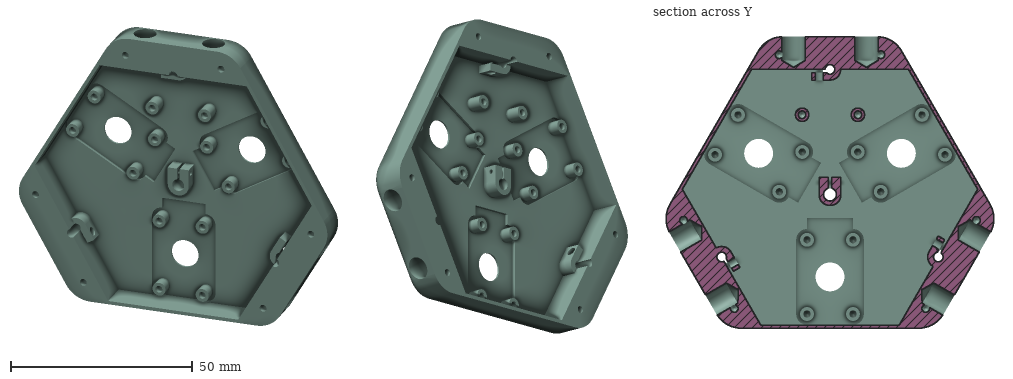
import cadquery as cq
import math

TRAY_DEPTH = 10.0
LONG_SIDE_DISTANCE = 36.9
SHORT_SIDE_DISTANCE = 43.6
CORNER_RADIUS = 8.0
BACK_FILLET = 1.7
CAVITY_LONG_DISTANCE = 35.9
CAVITY_SHORT_DISTANCE = 34.4
FLOOR = 1.5

PAD_DEPTH = 1.0
PAD_FLOOR = FLOOR - PAD_DEPTH
PAD_SCREW_X = 6.3
PAD_SCREW_INNER = 12.5
PAD_SCREW_OUTER = 32.9
PAD_CORNER_RADIUS = 3.0
PAD_TONGUE_END = 6.5
MOTOR_HOLE_RADIUS = 4.0

PAD_BOSS_TOP = 4.1
BOARD_BOSS_TOP = 6.0
BOSS_RADIUS = 1.9
BOARD_BOSS_X = 7.7
BOARD_BOSS_Z = 22.0
SCREW_RADIUS = 1.0
BOSS_SCREW_DEPTH = 3.0
RIM_SCREW_X = 14.0
RIM_SCREW_DISTANCE = 38.5
RIM_SCREW_DEPTH = 6.0
DRILL_POINT_ANGLE = 118

SOCKET_X = 10.0
SOCKET_RADIUS = 3.2
SOCKET_DEPTH = 6.6

CLAMP_TOP = 6.0
CLAMP_SCREW_HEIGHT = 4.25
HUB_RADIUS = 3.1
HUB_LENGTH = 4.9
HUB_BORE_RADIUS = 1.7
HUB_SLOT = 0.8
HUB_SCREW_RADIUS = 0.6
HUB_SCREW_Z = 3.25

CLIP_RADIUS = 3.0
CLIP_LENGTH = 5.1
CLIP_BORE_RADIUS = 1.3
CLIP_SLOT = 0.8
CLIP_SLOT_THROUGH = 2.0
CLIP_SCREW_X = 3.0
CLIP_SCREW_RADIUS = 1.3
CLIP_PILOT_RADIUS = 0.5
CLIP_PILOT_DEPTH = 3.6


def level(height):
    """Plane parallel to the floor, its height measured from the back face toward -Y."""
    return cq.Workplane("XZ", origin=(0, -height, 0))


def three_fold(shape):
    """Union of a shape with its copies turned by 120 and 240 degrees about the tray axis."""
    turned = shape
    for angle in (120, 240):
        turned = turned.union(shape.rotate((0, 0, 0), (0, 1, 0), angle))
    return turned


def hexagon(long_distance, short_distance):
    """Corners of the hexagon whose short sides face +Z and +Z turned by 120 and 240 degrees."""
    half_short = (long_distance - short_distance / 2) / math.cos(math.radians(30))
    corner_radius = math.hypot(half_short, short_distance)
    half_angle = math.atan2(half_short, short_distance)
    corners = []
    for middle in (90, 210, 330):
        for side in (-1, 1):
            angle = math.radians(middle) + side * half_angle
            corners.append((corner_radius * math.cos(angle), corner_radius * math.sin(angle)))
    return corners


def drill(plane, points, radius, depth):
    """Blind holes going against the plane normal, each ending in a drill point."""
    tip = depth + radius / math.tan(math.radians(DRILL_POINT_ANGLE / 2))
    profile = [(0, 0), (radius, 0), (radius, -depth), (0, -tip)]
    bit = cq.Workplane("XY").polyline(profile).close()
    bit = bit.revolve(360, (0, 0), (0, 1)).rotate((0, 0, 0), (1, 0, 0), 90).val()
    return plane.pushPoints(points).eachpoint(bit, True)


def shell():
    body = level(0).polyline(hexagon(LONG_SIDE_DISTANCE, SHORT_SIDE_DISTANCE)).close()
    body = body.extrude(TRAY_DEPTH).edges("|Y").fillet(CORNER_RADIUS)
    body = body.faces(">Y").edges().fillet(BACK_FILLET)
    cavity = level(FLOOR).polyline(hexagon(CAVITY_LONG_DISTANCE, CAVITY_SHORT_DISTANCE)).close()
    return body.cut(cavity.extrude(TRAY_DEPTH - FLOOR))


def pad_recess():
    half_width = PAD_SCREW_X + PAD_CORNER_RADIUS
    outer = PAD_SCREW_OUTER + PAD_CORNER_RADIUS
    inner = PAD_SCREW_INNER - PAD_CORNER_RADIUS
    base = level(PAD_FLOOR)
    plate = base.center(0, -(inner + outer) / 2).rect(2 * half_width, outer - inner)
    plate = plate.extrude(PAD_DEPTH).edges("|Y").fillet(PAD_CORNER_RADIUS)
    tongue_length = PAD_SCREW_INNER - PAD_TONGUE_END
    tongue = base.center(0, -PAD_TONGUE_END - tongue_length / 2)
    tongue = tongue.rect(2 * PAD_SCREW_X, tongue_length).extrude(PAD_DEPTH)
    return plate.union(tongue)


def motor_hole():
    middle = (PAD_SCREW_INNER + PAD_SCREW_OUTER) / 2
    return level(0).center(0, -middle).circle(MOTOR_HOLE_RADIUS).extrude(FLOOR)


def bosses(points, base, top):
    return level(base).pushPoints(points).circle(BOSS_RADIUS).extrude(top - base)


def clamp_block(radius, length):
    """Upright block with one round end, centred on the bore and reaching toward +Z."""
    outline = level(FLOOR).moveTo(radius, 0).lineTo(radius, length).lineTo(-radius, length)
    outline = outline.lineTo(-radius, 0).threePointArc((0, -radius), (radius, 0)).close()
    return outline.extrude(CLAMP_TOP - FLOOR)


def hub_cuts():
    bore = level(0).circle(HUB_BORE_RADIUS).extrude(CLAMP_TOP)
    slot = level(FLOOR).center(0, HUB_LENGTH / 2).rect(HUB_SLOT, HUB_LENGTH)
    screw = cq.Workplane("YZ").center(-CLAMP_SCREW_HEIGHT, HUB_SCREW_Z).circle(HUB_SCREW_RADIUS)
    return bore.union(slot.extrude(CLAMP_TOP - FLOOR)).union(screw.extrude(HUB_RADIUS, both=True))


def clip_block():
    """Wall clamp reaching toward -X from its bore, which lies on the +Z cavity wall."""
    block = clamp_block(CLIP_RADIUS, CLIP_LENGTH).rotate((0, 0, 0), (0, 1, 0), -90)
    return block.translate((0, 0, CAVITY_SHORT_DISTANCE))


def clip_cuts():
    wall = CAVITY_SHORT_DISTANCE
    bore = level(0).center(0, wall).circle(CLIP_BORE_RADIUS).extrude(TRAY_DEPTH)
    slot_z = wall - CLIP_SLOT / 2
    slot = level(FLOOR).center(-CLIP_LENGTH / 2, slot_z).rect(CLIP_LENGTH, CLIP_SLOT)
    slit = level(0).center(-CLIP_SLOT_THROUGH / 2, slot_z).rect(CLIP_SLOT_THROUGH, CLIP_SLOT)
    screw_plane = cq.Workplane("XY", origin=(-CLIP_SCREW_X, -CLAMP_SCREW_HEIGHT, wall))
    clearance = screw_plane.circle(CLIP_SCREW_RADIUS).extrude(-CLIP_RADIUS)
    pilot = screw_plane.circle(CLIP_PILOT_RADIUS).extrude(CLIP_PILOT_DEPTH)
    cuts = bore.union(slot.extrude(CLAMP_TOP - FLOOR)).union(slit.extrude(FLOOR))
    return cuts.union(clearance).union(pilot)


pad_screws = [(x, -z) for x in (-PAD_SCREW_X, PAD_SCREW_X) for z in (PAD_SCREW_INNER, PAD_SCREW_OUTER)]
board_screws = [(x, BOARD_BOSS_Z) for x in (-BOARD_BOSS_X, BOARD_BOSS_X)]
rim_screws = [(x, RIM_SCREW_DISTANCE) for x in (-RIM_SCREW_X, RIM_SCREW_X)]

tray = shell()
tray = tray.cut(three_fold(pad_recess()))
tray = tray.cut(three_fold(motor_hole()))

tray = tray.union(three_fold(bosses(pad_screws, PAD_FLOOR, PAD_BOSS_TOP)))
tray = tray.union(bosses(board_screws, FLOOR, BOARD_BOSS_TOP))
tray = tray.union(clamp_block(HUB_RADIUS, HUB_LENGTH))
tray = tray.union(three_fold(clip_block()))
tray = tray.cut(hub_cuts())
tray = tray.cut(three_fold(clip_cuts()))

tray = tray.cut(three_fold(drill(level(PAD_BOSS_TOP), pad_screws, SCREW_RADIUS, BOSS_SCREW_DEPTH)))
tray = tray.cut(drill(level(BOARD_BOSS_TOP), board_screws, SCREW_RADIUS, BOSS_SCREW_DEPTH))
tray = tray.cut(three_fold(drill(level(TRAY_DEPTH), rim_screws, SCREW_RADIUS, RIM_SCREW_DEPTH)))
socket_plane = cq.Workplane("XY", origin=(0, -TRAY_DEPTH / 2, SHORT_SIDE_DISTANCE))
sockets = drill(socket_plane, [(-SOCKET_X, 0), (SOCKET_X, 0)], SOCKET_RADIUS, SOCKET_DEPTH)
tray = tray.cut(three_fold(sockets))

result = tray